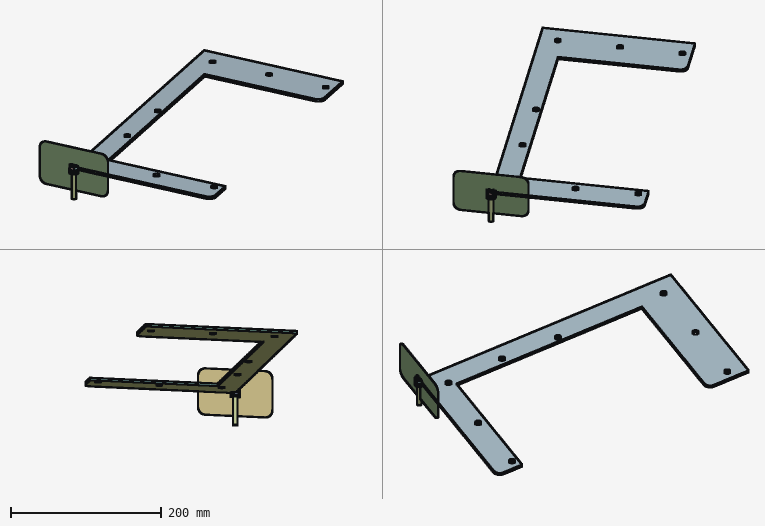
import cadquery as cq
import math


frame_length = 387.5
frame_width = 206.3
frame_thickness = 3.5
frame_top = 3.0
leg_width = 32.3
back_arm_depth = 63.5
front_arm_depth = 38.5
frame_corner_radius = 10.0
frame_hole_diameter = 8.0
hole_near_x = 25.0
hole_pitch_x = 84.3
back_hole_y = 362.0
front_hole_y = 30.5
hole_offset = 3.0
leg_hole_pitch = 84.3

plate_width = 101.5
plate_height = 63.5
plate_thickness = 0.5
plate_corner_radius = 10.2

overall_height = 75.5
shank_diameter = 6.3
shank_bottom = plate_height / 2 - overall_height
head_height = 5.0
head_boss_height = 0.8
across_flats = 11.0
washer_diameter = 12.5
upper_washer_thickness = 0.8
nut_height = 3.5
lower_washer_thickness = 1.0

across_corners = across_flats / math.cos(math.radians(30))
nut_top = -upper_washer_thickness
nut_bottom = nut_top - nut_height
stack_bottom = nut_bottom - lower_washer_thickness


def disc(diameter, bottom, top):
    """Upright cylinder on the Z axis."""
    return cq.Workplane("XY").workplane(offset=bottom).circle(diameter / 2).extrude(top - bottom)


def hex_prism(bottom, top):
    """Hexagonal block on the Z axis, with two of its corners on the X axis."""
    return cq.Workplane("XY").workplane(offset=bottom).polygon(6, across_corners).extrude(top - bottom)


def make_bolt():
    """Hex bolt with its head resting on Z = 0 and a low round boss on top of the head."""
    shank_and_boss = disc(shank_diameter, shank_bottom, head_height + head_boss_height)
    return shank_and_boss.union(hex_prism(0, head_height))


def make_washer(bottom, thickness):
    return disc(washer_diameter, bottom, bottom + thickness).cut(bolt)


def make_nut():
    return hex_prism(nut_bottom, nut_top).cut(bolt)


def make_plate(hardware):
    """Rounded rectangle in front of the frame, centred on Z = 0."""
    plate = (
        cq.Workplane("XZ")
        .rect(plate_width, plate_height)
        .extrude(plate_thickness)
        .edges("|Y")
        .fillet(plate_corner_radius)
    )
    return plate.cut(hardware)


def frame_hole_centers():
    middle_x = hole_near_x + hole_pitch_x
    far_x = middle_x + hole_pitch_x
    lower_leg_hole_y = front_hole_y + leg_hole_pitch
    upper_leg_hole_y = lower_leg_hole_y + leg_hole_pitch
    back_row = [(x, back_hole_y) for x in (hole_near_x, middle_x, far_x)]
    leg_holes = [
        (hole_near_x, upper_leg_hole_y),
        (hole_near_x - hole_offset, lower_leg_hole_y),
    ]
    front_row = [
        (hole_near_x, front_hole_y),
        (middle_x, front_hole_y - hole_offset),
        (far_x, front_hole_y),
    ]
    return back_row + leg_holes + front_row


def make_frame(hardware):
    """C-shaped sheet, open towards +X, with its hole pattern and a relief for the hardware."""
    frame_bottom = frame_top - frame_thickness
    back_arm_y = frame_length - back_arm_depth
    outline = [
        (0, 0),
        (frame_width, 0),
        (frame_width, front_arm_depth),
        (leg_width, front_arm_depth),
        (leg_width, back_arm_y),
        (frame_width, back_arm_y),
        (frame_width, frame_length),
        (0, frame_length),
    ]
    frame = cq.Workplane("XY").workplane(offset=frame_bottom).polyline(outline).close()
    frame = frame.extrude(frame_thickness)

    frame_middle_z = frame_top - frame_thickness / 2
    for x, y in [(0, 0), (frame_width, 0), (frame_width, back_arm_y)]:
        corner_edge = cq.NearestToPointSelector((x, y, frame_middle_z))
        frame = frame.edges(corner_edge).fillet(frame_corner_radius)

    holes = (
        cq.Workplane("XY")
        .workplane(offset=frame_bottom)
        .pushPoints(frame_hole_centers())
        .circle(frame_hole_diameter / 2)
        .extrude(frame_thickness)
    )
    return frame.cut(holes).cut(hardware)


bolt = make_bolt()
washers = [
    make_washer(bottom, thickness)
    for bottom, thickness in [
        (nut_top, upper_washer_thickness),
        (stack_bottom, lower_washer_thickness),
    ]
]
nut = make_nut()

hardware = bolt.union(nut)
for washer in washers:
    hardware = hardware.union(washer)

plate = make_plate(hardware)
frame = make_frame(hardware)

result = cq.Compound.makeCompound(
    [frame.val(), plate.val(), bolt.val(), nut.val(), *[washer.val() for washer in washers]]
)